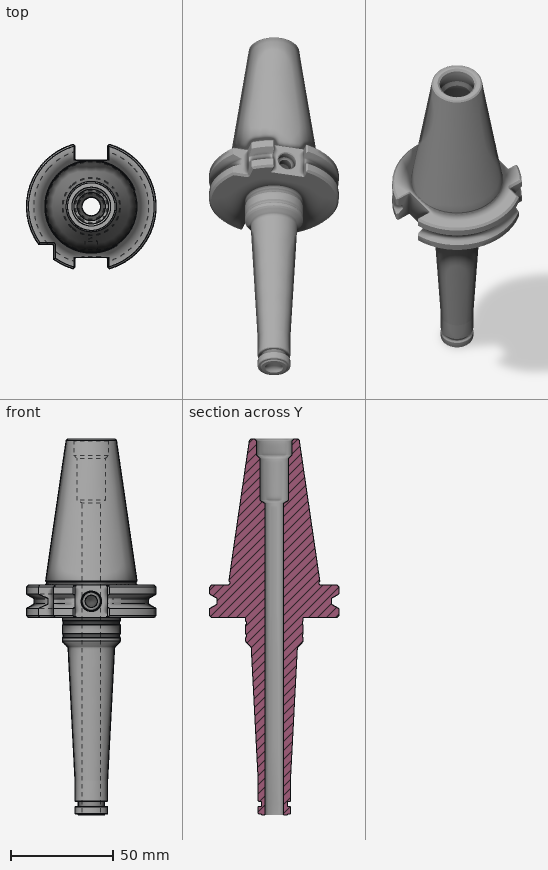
import cadquery as cq
import math


GAUGE_DIAMETER = 44.45
TAPER_LENGTH = 68.4
TAPER_RATIO = 7 / 24
TAPER_TIP_CHAMFER = 0.7
TAPER_END = -1.2
NECK_DIAMETER = 43.8
NECK_TOP = -1.7
NECK_FILLET = 0.9

FLANGE_DIAMETER = 63.55
FLANGE_TOP = -3.1
FLANGE_BOTTOM = -19.1
FLANGE_CHAMFER = 1.0
VEE_CENTRE = -11.1
VEE_MOUTH_WIDTH = 7.0
VEE_ROOT_DIAMETER = 56.25
VEE_HALF_ANGLE = 30
VEE_ROOT_FILLET = 0.5

SLOT_WIDTH = 16.1
SLOT_EDGE_CHAMFER = 0.85
SLOT_RIM_CHAMFER = 0.5
FRONT_SLOT_FLOOR = 25.0
REAR_SLOT_FLOOR = 22.8
NOTCH_X = -18.5
NOTCH_Y = -18.5
CORNER_FILLET = 0.6

SIDE_HOLE_MOUTH_DIAMETER = 10.0
SIDE_HOLE_DIAMETER = 9.0
SIDE_HOLE_DEPTH = 4.0
SIDE_DRILL_DIAMETER = 6.0
SIDE_DRILL_DEPTH = 8.0

COLLAR_DIAMETER = 28.5
COLLAR_EDGE = -30.6
COLLAR_CHAMFER = 0.6
COLLAR_CONE_ANGLE = 45
COLLAR_GROOVES = (-20.6, -26.9)
COLLAR_GROOVE_WIDTH = 2.2
COLLAR_GROOVE_FLANK = 0.6
COLLAR_GROOVE_DEPTH = 0.4

ARBOR_TOP_DIAMETER = 22.8
ARBOR_DIAMETER = 16.0
ARBOR_TOP = -34.1
ARBOR_TOP_FILLET = 1.0
ARBOR_TAPER_END = -99.0
ARBOR_BOTTOM = -115.85
RETAINING_GROOVE_TOP = -109.15
RETAINING_GROOVE_BOTTOM = -111.5
RETAINING_GROOVE_DIAMETER = 13.0
EDGE_CHAMFER = 0.3
HEAD_BOTTOM = -115.3
HEAD_CHAMFER = 0.3
PILOT_DIAMETER = 13.4
PILOT_CHAMFER = 0.5

COUNTERBORE_DIAMETER = 17.0
COUNTERBORE_MOUTH_DIAMETER = 19.0
COUNTERBORE_DEPTH = 8.0
THREAD_BORE_DIAMETER = 13.84
THREAD_BORE_DEPTH = 30.0
THROUGH_BORE_DIAMETER = 9.0
DRILL_POINT_ANGLE = 118


def revolve(profile):
    """Revolve a closed (radius, z) outline about the Z axis."""
    return cq.Workplane("XZ").polyline(profile).close().revolve(360, (0, 0, 0), (0, 1, 0))


def drill_point_length(diameter_change):
    return diameter_change / 2 / math.tan(math.radians(DRILL_POINT_ANGLE / 2))


def taper_radius(z):
    return (GAUGE_DIAMETER - z * TAPER_RATIO) / 2


def taper_shank():
    neck_radius = NECK_DIAMETER / 2
    shoulder = TAPER_LENGTH - TAPER_TIP_CHAMFER
    shank = revolve([
        (0, TAPER_LENGTH),
        (taper_radius(shoulder) - TAPER_TIP_CHAMFER, TAPER_LENGTH),
        (taper_radius(shoulder), shoulder),
        (taper_radius(TAPER_END), TAPER_END),
        (neck_radius, NECK_TOP),
        (neck_radius, FLANGE_TOP),
        (0, FLANGE_TOP),
    ])
    return shank.union(neck_fillet())


def neck_fillet():
    """Concave ring that blends the neck into the top face of the flange."""
    neck_radius = NECK_DIAMETER / 2
    outer_radius = neck_radius + NECK_FILLET
    fillet_top = FLANGE_TOP + NECK_FILLET
    arc_inset = NECK_FILLET * (1 - math.sqrt(0.5))
    return (
        cq.Workplane("XZ")
        .moveTo(neck_radius, FLANGE_TOP)
        .lineTo(outer_radius, FLANGE_TOP)
        .threePointArc(
            (neck_radius + arc_inset, FLANGE_TOP + arc_inset),
            (neck_radius, fillet_top),
        )
        .close()
        .revolve(360, (0, 0, 0), (0, 1, 0))
    )


def vee_groove():
    outer = FLANGE_DIAMETER / 2
    root = VEE_ROOT_DIAMETER / 2
    mouth_half = VEE_MOUTH_WIDTH / 2
    slope = math.tan(math.radians(VEE_HALF_ANGLE))
    root_half = mouth_half - (outer - root) * slope
    beyond = outer + 1
    beyond_half = mouth_half + (beyond - outer) * slope
    groove = revolve([
        (root, VEE_CENTRE + root_half),
        (beyond, VEE_CENTRE + beyond_half),
        (beyond, VEE_CENTRE - beyond_half),
        (root, VEE_CENTRE - root_half),
    ])
    return groove.edges(cq.selectors.RadiusNthSelector(0)).fillet(VEE_ROOT_FILLET)


def drive_slot(floor, side):
    """Slot through the flange with flared outer edges; side is +1 or -1 along Y."""
    half = SLOT_WIDTH / 2
    rim_x = half + SLOT_EDGE_CHAMFER
    rim_y = math.sqrt((FLANGE_DIAMETER / 2) ** 2 - rim_x ** 2)
    flare_y = rim_y - SLOT_EDGE_CHAMFER
    outer_y = FLANGE_DIAMETER / 2 + 1
    outer_x = half + outer_y - flare_y
    right_side = [(half, floor), (half, flare_y), (outer_x, outer_y)]
    left_side = [(-x, y) for x, y in reversed(right_side)]
    outline = [(x, side * y) for x, y in right_side + left_side]
    height = FLANGE_TOP - FLANGE_BOTTOM
    slot = cq.Workplane("XY", origin=(0, 0, FLANGE_BOTTOM)).polyline(outline).close().extrude(height)
    for x in (half, -half):
        corner = cq.selectors.NearestToPointSelector((x, side * floor, VEE_CENTRE))
        slot = slot.edges(corner).fillet(CORNER_FILLET)
    for z, inward in ((FLANGE_TOP, -1), (FLANGE_BOTTOM, 1)):
        slot = slot.union(slot_rim_chamfer(floor, side, z, inward))
    return slot


def slot_rim_chamfer(floor, side, z, inward):
    """Wedge that breaks both side edges of a slot where they meet a flange face."""
    half = SLOT_WIDTH / 2
    profile = [
        (half + SLOT_RIM_CHAMFER, z),
        (half, z + inward * SLOT_RIM_CHAMFER),
        (-half, z + inward * SLOT_RIM_CHAMFER),
        (-half - SLOT_RIM_CHAMFER, z),
    ]
    length = FLANGE_DIAMETER / 2 - floor
    section = cq.Workplane("XZ", origin=(0, side * floor, 0))
    return section.polyline(profile).close().extrude(-side * length)


def side_hole():
    point = SIDE_DRILL_DEPTH + drill_point_length(SIDE_DRILL_DIAMETER)
    mouth_chamfer = (SIDE_HOLE_MOUTH_DIAMETER - SIDE_HOLE_DIAMETER) / 2
    profile = [
        (0, 0),
        (SIDE_HOLE_MOUTH_DIAMETER / 2, 0),
        (SIDE_HOLE_DIAMETER / 2, -mouth_chamfer),
        (SIDE_HOLE_DIAMETER / 2, -SIDE_HOLE_DEPTH),
        (SIDE_DRILL_DIAMETER / 2, -SIDE_HOLE_DEPTH),
        (SIDE_DRILL_DIAMETER / 2, -SIDE_DRILL_DEPTH),
        (0, -point),
    ]
    hole = revolve(profile).rotate((0, 0, 0), (1, 0, 0), 90)
    return hole.translate((0, -FRONT_SLOT_FLOOR, VEE_CENTRE))


def flange():
    radius = FLANGE_DIAMETER / 2
    height = FLANGE_TOP - FLANGE_BOTTOM
    base = cq.Workplane("XY", origin=(0, 0, FLANGE_BOTTOM))
    notch = base.center(NOTCH_X - radius / 2, NOTCH_Y - radius / 2).rect(radius, radius).extrude(height)
    notch = notch.edges("|Z and >X and >Y").fillet(CORNER_FILLET)
    body = base.circle(radius).extrude(height).cut(notch)
    body = body.faces("|Z").edges().chamfer(FLANGE_CHAMFER)
    body = body.cut(vee_groove())
    body = body.cut(drive_slot(FRONT_SLOT_FLOOR, -1))
    body = body.cut(drive_slot(REAR_SLOT_FLOOR, 1))
    return body.cut(side_hole())


def collar_and_arbor():
    collar = COLLAR_DIAMETER / 2
    arbor = ARBOR_DIAMETER / 2
    arbor_top = ARBOR_TOP_DIAMETER / 2
    retaining = RETAINING_GROOVE_DIAMETER / 2
    pilot = PILOT_DIAMETER / 2

    outline = cq.Workplane("XZ").moveTo(0, FLANGE_BOTTOM).lineTo(collar, FLANGE_BOTTOM)
    for top in COLLAR_GROOVES:
        bottom = top - COLLAR_GROOVE_WIDTH
        outline = (
            outline.lineTo(collar, top)
            .lineTo(collar - COLLAR_GROOVE_DEPTH, top - COLLAR_GROOVE_FLANK)
            .lineTo(collar - COLLAR_GROOVE_DEPTH, bottom + COLLAR_GROOVE_FLANK)
            .lineTo(collar, bottom)
        )

    fillet_centre = arbor_top + ARBOR_TOP_FILLET
    cone_angle = math.radians(COLLAR_CONE_ANGLE)
    middle_angle = cone_angle / 2
    cone_end = (
        fillet_centre - ARBOR_TOP_FILLET * math.cos(cone_angle),
        ARBOR_TOP + ARBOR_TOP_FILLET * math.sin(cone_angle),
    )
    fillet_middle = (
        fillet_centre - ARBOR_TOP_FILLET * math.cos(middle_angle),
        ARBOR_TOP + ARBOR_TOP_FILLET * math.sin(middle_angle),
    )
    cone_start_radius = collar - COLLAR_CHAMFER
    cone_start = cone_end[1] + (cone_start_radius - cone_end[0]) / math.tan(cone_angle)

    return (
        outline.lineTo(collar, COLLAR_EDGE)
        .lineTo(cone_start_radius, cone_start)
        .lineTo(*cone_end)
        .threePointArc(fillet_middle, (arbor_top, ARBOR_TOP))
        .lineTo(arbor, ARBOR_TAPER_END)
        .lineTo(arbor, RETAINING_GROOVE_TOP + EDGE_CHAMFER)
        .lineTo(arbor - EDGE_CHAMFER, RETAINING_GROOVE_TOP)
        .lineTo(retaining, RETAINING_GROOVE_TOP)
        .lineTo(retaining, RETAINING_GROOVE_BOTTOM)
        .lineTo(arbor - EDGE_CHAMFER, RETAINING_GROOVE_BOTTOM)
        .lineTo(arbor, RETAINING_GROOVE_BOTTOM - EDGE_CHAMFER)
        .lineTo(arbor, HEAD_BOTTOM + HEAD_CHAMFER)
        .lineTo(arbor - HEAD_CHAMFER, HEAD_BOTTOM)
        .lineTo(pilot, HEAD_BOTTOM)
        .lineTo(pilot - PILOT_CHAMFER, ARBOR_BOTTOM)
        .lineTo(0, ARBOR_BOTTOM)
        .close()
        .revolve(360, (0, 0, 0), (0, 1, 0))
    )


def bore():
    mouth = COUNTERBORE_MOUTH_DIAMETER / 2
    counterbore = COUNTERBORE_DIAMETER / 2
    thread = THREAD_BORE_DIAMETER / 2
    through = THROUGH_BORE_DIAMETER / 2
    counterbore_floor = TAPER_LENGTH - COUNTERBORE_DEPTH
    thread_end = TAPER_LENGTH - THREAD_BORE_DEPTH
    point_end = thread_end - drill_point_length(THREAD_BORE_DIAMETER - THROUGH_BORE_DIAMETER)
    return revolve([
        (0, TAPER_LENGTH),
        (mouth, TAPER_LENGTH),
        (counterbore, TAPER_LENGTH - (mouth - counterbore)),
        (counterbore, counterbore_floor),
        (thread, counterbore_floor - (counterbore - thread)),
        (thread, thread_end),
        (through, point_end),
        (through, ARBOR_BOTTOM),
        (0, ARBOR_BOTTOM),
    ])


result = taper_shank().union(flange()).union(collar_and_arbor()).cut(bore())